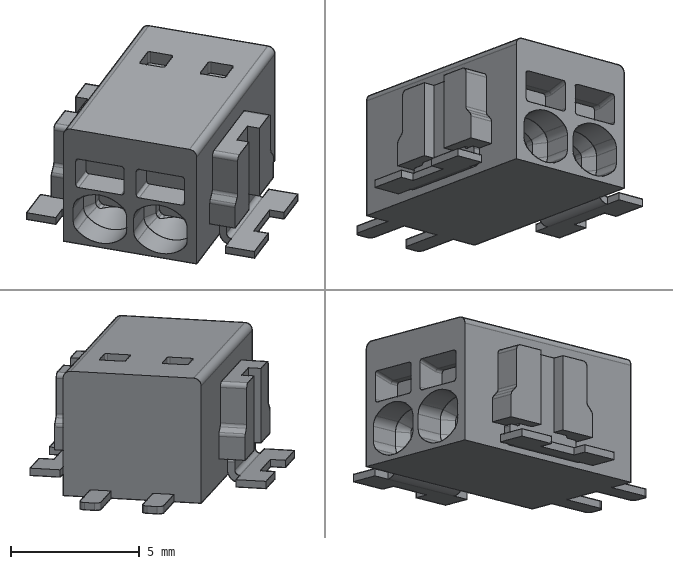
import cadquery as cq
import math


overall_width = 9.4
overall_length = 11.0

body_width = 5.5
body_length = 9.0
body_height = 5.0
body_edge_radius = 0.3

pole_pitch = 2.5
pole_positions = (-pole_pitch / 2, pole_pitch / 2)

metal_thickness = 0.3

pin_width = 0.84
pin_tip_radius = 0.22
pin_overlap = 0.22

pocket_size = 1.03
pocket_depth = 0.5
pocket_corner_radius = 0.1
pocket_y = 6.49

window_width = 1.99
window_floor_z = 2.49
window_front_height = 1.25
window_back_height = 1.02
window_ramp_depth = 0.86
window_depth = 1.2
window_corner_radius = 0.12

entry_width = 2.2
entry_bottom_z = 0.2
entry_top_z = 2.31
entry_arc_radius = 1.34
entry_corner_radius = 0.53
entry_mouth_depth = 1.2
taper_inset = 0.52
taper_depth = 0.89
throat_inset = 0.31
throat_floor_z = 0.72
throat_floor_radius = 0.2

clip_y = 3.7
clip_outer_x = 3.8
clip_bottom_z = 1.01
clip_top_z = 4.0
clip_lower_half_length = 2.2
clip_upper_half_length = 1.9
clip_step_top_z = 2.3
clip_edge_radius = 0.2
groove_length = 1.2
groove_depth = 0.5

leg_outer_x = clip_outer_x - groove_depth
leg_length = 3.6
leg_neck_length = 2.53
leg_corner_radius = 0.1
leg_shoulder_z = clip_bottom_z - leg_corner_radius
bend_inner_radius = 0.2
foot_outer_x = overall_width / 2
foot_length = 4.99
foot_notch_length = 1.8
foot_notch_depth = 0.59
foot_inner_x = leg_outer_x + bend_inner_radius


def rounded_rectangle(width, height, radius, center_x, y, bottom_z):
    """Wire in a plane of constant Y."""
    outline = cq.Wire.makePolygon(
        [
            cq.Vector(center_x + x, y, z)
            for x, z in (
                (-width / 2, bottom_z),
                (-width / 2, bottom_z + height),
                (width / 2, bottom_z + height),
                (width / 2, bottom_z),
            )
        ],
        close=True,
    )
    return outline.fillet2D(radius, outline.Vertices())


def make_housing():
    block = cq.Workplane("XY").box(body_width, body_length, body_height, centered=(True, False, False))
    return block.edges("|Y and >Z").fillet(body_edge_radius)


def make_pin(center_x):
    start_y = body_length - pin_overlap
    length = overall_length - start_y
    pin = (
        cq.Workplane("XY", origin=(center_x, start_y, 0))
        .box(pin_width, length, metal_thickness, centered=(True, False, False))
    )
    return pin.faces(">Y").edges("|Z").fillet(pin_tip_radius)


def make_pocket(center_x):
    pocket = (
        cq.Workplane("XY", origin=(center_x, pocket_y, body_height - pocket_depth))
        .rect(pocket_size, pocket_size)
        .extrude(pocket_depth)
    )
    return pocket.edges("|Z").fillet(pocket_corner_radius)


def make_window(center_x):
    front, ramp_end = (
        rounded_rectangle(window_width, height, window_corner_radius, center_x, y, window_floor_z)
        for height, y in ((window_front_height, 0), (window_back_height, window_ramp_depth))
    )
    ramp = cq.Solid.makeLoft([front, ramp_end], True)
    back = cq.Solid.extrudeLinear(ramp_end, [], cq.Vector(0, window_depth - window_ramp_depth, 0))
    return cq.Workplane(obj=ramp).union(cq.Workplane(obj=back))


def entry_outline(center_x, y, inset):
    """Wire in a plane of constant Y: upright sides between two arches, with rounded corners."""
    half_width = entry_width / 2 - inset
    half_height = (entry_top_z - entry_bottom_z) / 2 - inset
    arc_radius = entry_arc_radius - inset
    arc_drop = arc_radius - math.sqrt(arc_radius**2 - half_width**2)
    side_half_height = half_height - arc_drop
    middle_z = (entry_top_z + entry_bottom_z) / 2

    def point(x, z):
        return cq.Vector(center_x + x, y, middle_z + z)

    lower_left = point(-half_width, -side_half_height)
    upper_left = point(-half_width, side_half_height)
    upper_right = point(half_width, side_half_height)
    lower_right = point(half_width, -side_half_height)
    outline = cq.Wire.assembleEdges([
        cq.Edge.makeLine(lower_left, upper_left),
        cq.Edge.makeThreePointArc(upper_left, point(0, half_height), upper_right),
        cq.Edge.makeLine(upper_right, lower_right),
        cq.Edge.makeThreePointArc(lower_right, point(0, -half_height), lower_left),
    ])
    return outline.fillet2D(entry_corner_radius - inset, outline.Vertices())


def make_throat(center_x):
    """Arched bore with a flat floor that the entry tapers into."""
    end_y = entry_mouth_depth + taper_depth
    arch = cq.Solid.extrudeLinear(entry_outline(center_x, 0, throat_inset), [], cq.Vector(0, end_y, 0))
    above_floor = (
        cq.Workplane("XY", origin=(center_x, 0, throat_floor_z))
        .box(entry_width, end_y, entry_top_z, centered=(True, False, False))
    )
    throat = cq.Workplane(obj=arch).intersect(above_floor)
    return throat.faces("<Z").edges("|Y").fillet(throat_floor_radius)


def make_wire_entry(center_x):
    mouth_front = entry_outline(center_x, 0, 0)
    mouth_back = entry_outline(center_x, entry_mouth_depth, 0)
    taper_end = entry_outline(center_x, entry_mouth_depth + taper_depth, taper_inset)
    mouth = cq.Solid.extrudeLinear(mouth_front, [], cq.Vector(0, entry_mouth_depth, 0))
    taper = cq.Solid.makeLoft([mouth_back, taper_end], True)
    entry = cq.Workplane(obj=mouth).union(cq.Workplane(obj=taper))
    return entry.union(make_throat(center_x))


def make_clip():
    """Clip on the +X side, stepped wider toward the bottom and grooved on its outer face."""
    step = clip_lower_half_length - clip_upper_half_length
    step_bottom_z = clip_step_top_z - step
    clip = (
        cq.Workplane("YZ", origin=(0, clip_y, 0))
        .moveTo(-clip_lower_half_length, clip_bottom_z)
        .lineTo(-clip_lower_half_length, step_bottom_z)
        .lineTo(-clip_upper_half_length, clip_step_top_z)
        .lineTo(-clip_upper_half_length, clip_top_z)
        .lineTo(clip_upper_half_length, clip_top_z)
        .lineTo(clip_upper_half_length, clip_step_top_z)
        .lineTo(clip_lower_half_length, step_bottom_z)
        .lineTo(clip_lower_half_length, clip_bottom_z)
        .close()
        .extrude(clip_outer_x)
    )
    clip = clip.edges("|X").edges("not <Z").fillet(clip_edge_radius)
    groove = (
        cq.Workplane("XY", origin=(leg_outer_x, clip_y, 0))
        .box(groove_depth, groove_length, body_height, centered=(False, True, False))
    )
    return clip.cut(groove)


def make_foot():
    """Leg and foot on the +X side, bent from one strip."""
    bend_outer_radius = bend_inner_radius + metal_thickness
    leg_inner_x = leg_outer_x - metal_thickness
    bend_center_z = bend_outer_radius
    diagonal = math.sqrt(0.5)
    strip = (
        cq.Workplane("XZ", origin=(0, clip_y, 0))
        .moveTo(foot_inner_x, 0)
        .threePointArc(
            (foot_inner_x - bend_outer_radius * diagonal, bend_center_z - bend_outer_radius * diagonal),
            (leg_inner_x, bend_center_z),
        )
        .lineTo(leg_inner_x, leg_shoulder_z)
        .lineTo(leg_outer_x, leg_shoulder_z)
        .lineTo(leg_outer_x, bend_center_z)
        .threePointArc(
            (foot_inner_x - bend_inner_radius * diagonal, bend_center_z - bend_inner_radius * diagonal),
            (foot_inner_x, metal_thickness),
        )
        .close()
        .extrude(leg_length / 2, both=True)
        .edges("|X and >Z")
        .fillet(leg_corner_radius)
    )
    neck_outline = (
        cq.Workplane("YZ", origin=(leg_inner_x, clip_y, leg_shoulder_z))
        .moveTo(-leg_neck_length / 2 - leg_corner_radius, 0)
        .radiusArc((-leg_neck_length / 2, leg_corner_radius), -leg_corner_radius)
        .lineTo(leg_neck_length / 2, leg_corner_radius)
        .radiusArc((leg_neck_length / 2 + leg_corner_radius, 0), -leg_corner_radius)
        .close()
    )
    leg = strip.union(neck_outline.extrude(metal_thickness))
    blade = (
        cq.Workplane("XY", origin=(foot_inner_x, clip_y, 0))
        .box(foot_outer_x - foot_inner_x, foot_length, metal_thickness, centered=(False, True, False))
    )
    notch = (
        cq.Workplane("XY", origin=(foot_outer_x - foot_notch_depth, clip_y, 0))
        .box(foot_notch_depth, foot_notch_length, metal_thickness, centered=(False, True, False))
    )
    return leg.union(blade.cut(notch))


result = make_housing()
side_parts = make_clip().union(make_foot())
result = result.union(side_parts).union(side_parts.mirror("YZ"))
for pole_x in pole_positions:
    result = result.union(make_pin(pole_x))
    result = result.cut(make_pocket(pole_x))
    result = result.cut(make_window(pole_x))
    result = result.cut(make_wire_entry(pole_x))